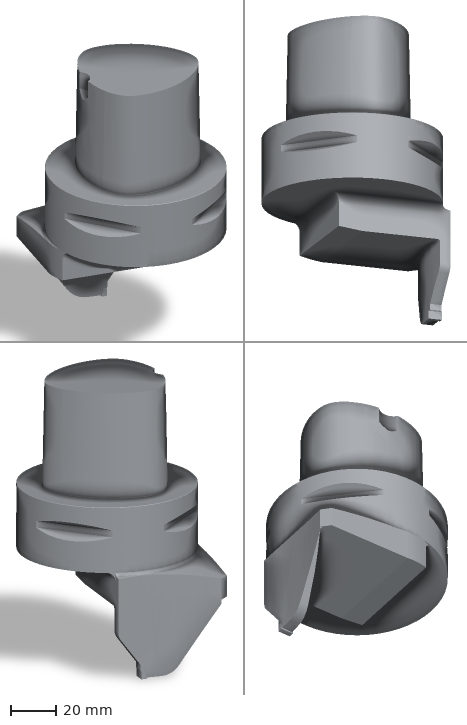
import cadquery as cq
import math


SHANK_LENGTH = 48.0
SHANK_BASE_RADIUS = 27.65
SHANK_TOP_RADIUS = 26.7
LOBE_HEIGHT = 2.0
LOBE_DIRECTIONS = (90, 210, 330)
LOBE_COUNT = len(LOBE_DIRECTIONS)
LOBE_SPACING = 360 / LOBE_COUNT
LOBE_HALF_ANGLE = 34
CURVE_STEPS = 8
SHANK_FILLET = 0.3

KEYWAY_RADIUS = 6.5
KEYWAY_DEEPEST_Y = -21.9
KEYWAY_DEPTH = 8.1

FLANGE_RADIUS = 40.0
FLANGE_HEIGHT = 30.0
FLANGE_CHAMFER = 0.2
GROOVE_ANGLES = (45, 135, 225, 315)
GROOVE_MID_Z = -12.1
GROOVE_FLOOR_DISTANCE = 35.5
GROOVE_FLOOR_WIDTH = 3.0
GROOVE_FLANK_ANGLE = 31

HEAD_LEFT_X = -45.06
HEAD_FRONT_Y = -40.5
HEAD_RIGHT_X = 10.4
HEAD_BACK_Y = 10.9
HEAD_BOTTOM_Z = -45.6
CORNER_CHAMFER_X = 3.6
CORNER_CHAMFER_Y = 3.8
FRONT_FLAT_END_X = -0.7
FRONT_ROUND_RADIUS = 30.0
HEAD_BOTTOM_RISE = 1.2
HEAD_FILLET = 3.8
HEAD_CONE_ANGLE = 15
RIM_CHAMFER_WIDTH = 1.0
RIM_CHAMFER_HEIGHT = 1.3

BLADE_OUTER_X = -41.8
BLADE_INNER_X = -36.4
BLADE_INNER_RADIUS = 82.2
CORNER_Y = HEAD_FRONT_Y + CORNER_CHAMFER_Y
OUTER_SAGITTA = BLADE_OUTER_X - HEAD_LEFT_X
BLADE_OUTER_RADIUS = (CORNER_Y**2 + OUTER_SAGITTA**2) / (2 * OUTER_SAGITTA)
BLADE_BOTTOM_Z = -78.6
BLADE_BACK_SHOULDER_Z = -58.5
BLADE_SEAT_Y = 0.4
BLADE_SEAT_Z = -72.4
BLADE_SLOPE_START_Z = -47.4
BLADE_SLOPE_END_Y = -14.5
BLADE_TIP_FILLET = 10.0
BLADE_BACK_FILLET = 6.0
BLADE_ROOT_FILLET = 1.2

INSERT_TOP_Z = -73.3
INSERT_BOTTOM_Z = -79.1
INSERT_RAKE = (0, -75.5)
INSERT_STEP = (-1.7, -75.6)
INSERT_HEEL = (-2.6, BLADE_BOTTOM_Z)
INSERT_BODY_OUTLINE = [
    (BLADE_SEAT_Y, INSERT_TOP_Z), (-2.9, -66.7), (-6.8, -66.4), (-7.6, -68.4), (-7.6, -70.1),
    (-4.9, BLADE_BOTTOM_Z), INSERT_HEEL, INSERT_STEP, INSERT_RAKE, (BLADE_SEAT_Y, -75.1),
]
INSERT_TIP_OUTLINE = [
    INSERT_RAKE, INSERT_STEP, INSERT_HEEL, (-2.4, INSERT_BOTTOM_Z), (INSERT_RAKE[0], INSERT_BOTTOM_Z),
]
INSERT_TIP_LEFT_X = -42.1
INSERT_TIP_RIGHT_X = -35.9

REACH = 100.0


def shank_point(radius, angle, z):
    """Point of the lobed outline whose outward normal has the given angle."""
    turn = math.radians(angle)
    phase = LOBE_COUNT * (turn - math.radians(LOBE_DIRECTIONS[0]))
    support = radius + LOBE_HEIGHT * math.cos(phase)
    slope = -LOBE_COUNT * LOBE_HEIGHT * math.sin(phase)
    x = support * math.cos(turn) - slope * math.sin(turn)
    y = support * math.sin(turn) + slope * math.cos(turn)
    return cq.Vector(x, y, z)


def shank_curve(radius, start, end, z):
    """One smooth stretch of the lobed outline between two normal angles."""
    step = (end - start) / CURVE_STEPS
    points = [shank_point(radius, start + step * i, z) for i in range(CURVE_STEPS + 1)]
    tangents = [
        cq.Vector(-math.sin(math.radians(angle)), math.cos(math.radians(angle)), 0)
        for angle in (start, end)
    ]
    return cq.Edge.makeSpline(points, tangents=tangents)


def shank_outline(radius, z):
    """Closed outline: a round lobe and a flatter side, three times."""
    edges = []
    for lobe in LOBE_DIRECTIONS:
        lobe_start = lobe - LOBE_HALF_ANGLE
        lobe_end = lobe + LOBE_HALF_ANGLE
        edges.append(shank_curve(radius, lobe_start, lobe_end, z))
        edges.append(shank_curve(radius, lobe_end, lobe_start + LOBE_SPACING, z))
    return cq.Wire.assembleEdges(edges)


def make_shank():
    base = shank_outline(SHANK_BASE_RADIUS, 0)
    top = shank_outline(SHANK_TOP_RADIUS, SHANK_LENGTH)
    return cq.Workplane(cq.Solid.makeLoft([base, top], True))


def make_keyway():
    cone_z = SHANK_LENGTH - KEYWAY_DEPTH
    return (
        cq.Workplane("XZ")
        .moveTo(0, SHANK_LENGTH)
        .lineTo(KEYWAY_RADIUS, SHANK_LENGTH)
        .lineTo(KEYWAY_RADIUS, cone_z)
        .lineTo(0, cone_z - KEYWAY_RADIUS)
        .close()
        .revolve(360, (0, 0), (0, 1))
        .translate((0, KEYWAY_DEEPEST_Y - KEYWAY_RADIUS, 0))
    )


def make_flange():
    return (
        cq.Workplane("XY")
        .circle(FLANGE_RADIUS)
        .extrude(-FLANGE_HEIGHT)
        .faces(">Z")
        .chamfer(FLANGE_CHAMFER)
    )


def make_groove(angle):
    """Trapezoidal bar that cuts a straight groove across the rim."""
    depth = FLANGE_RADIUS - GROOVE_FLOOR_DISTANCE
    floor_half = GROOVE_FLOOR_WIDTH / 2
    mouth_half = floor_half + depth * math.tan(math.radians(GROOVE_FLANK_ANGLE))
    return (
        cq.Workplane("XZ")
        .polyline([
            (GROOVE_FLOOR_DISTANCE, GROOVE_MID_Z - floor_half),
            (FLANGE_RADIUS, GROOVE_MID_Z - mouth_half),
            (FLANGE_RADIUS, GROOVE_MID_Z + mouth_half),
            (GROOVE_FLOOR_DISTANCE, GROOVE_MID_Z + floor_half),
        ])
        .close()
        .extrude(FLANGE_RADIUS, both=True)
        .rotate((0, 0, 0), (0, 0, 1), angle)
    )


def arc_x(crest_x, radius, y):
    """X on an upright cylinder whose rightmost line is at crest_x, Y = 0."""
    return crest_x - radius + math.sqrt(radius**2 - y**2)


def make_head():
    """Plate below the flange, before its top is cut back to a cone."""
    round_run = HEAD_RIGHT_X - FRONT_FLAT_END_X
    round_rise = FRONT_ROUND_RADIUS - math.sqrt(FRONT_ROUND_RADIUS**2 - round_run**2)
    back_left_x = arc_x(BLADE_OUTER_X, BLADE_OUTER_RADIUS, HEAD_BACK_Y)
    plate = (
        cq.Workplane("XY", origin=(0, 0, HEAD_BOTTOM_Z))
        .moveTo(HEAD_LEFT_X + CORNER_CHAMFER_X, HEAD_FRONT_Y)
        .lineTo(FRONT_FLAT_END_X, HEAD_FRONT_Y)
        .tangentArcPoint((HEAD_RIGHT_X, HEAD_FRONT_Y + round_rise), relative=False)
        .lineTo(HEAD_RIGHT_X, HEAD_BACK_Y)
        .lineTo(back_left_x, HEAD_BACK_Y)
        .threePointArc((BLADE_OUTER_X, 0), (HEAD_LEFT_X, CORNER_Y))
        .close()
        .extrude(-FLANGE_HEIGHT - HEAD_BOTTOM_Z)
    )
    underside_wedge = (
        cq.Workplane("XZ")
        .polyline([
            (FRONT_FLAT_END_X, HEAD_BOTTOM_Z),
            (HEAD_RIGHT_X, HEAD_BOTTOM_Z),
            (HEAD_RIGHT_X, HEAD_BOTTOM_Z + HEAD_BOTTOM_RISE),
        ])
        .close()
        .extrude(REACH, both=True)
    )
    return plate.cut(underside_wedge)


def make_head_clearance():
    """Ring that leaves a chamfer below the flange rim and a 15 degree cone on the head."""
    cone_start_x = FLANGE_RADIUS + RIM_CHAMFER_WIDTH
    cone_start_z = -FLANGE_HEIGHT - RIM_CHAMFER_HEIGHT
    cone_drop = (REACH - cone_start_x) * math.tan(math.radians(HEAD_CONE_ANGLE))
    return (
        cq.Workplane("XZ")
        .polyline([
            (FLANGE_RADIUS, -FLANGE_HEIGHT),
            (cone_start_x, cone_start_z),
            (REACH, cone_start_z - cone_drop),
            (REACH, -FLANGE_HEIGHT),
        ])
        .close()
        .revolve(360, (0, 0), (0, 1))
    )


def make_curved_plate():
    """Space between the two upright blade faces, from the head down past the tip."""
    back = HEAD_BACK_Y
    return (
        cq.Workplane("XY", origin=(0, 0, HEAD_BOTTOM_Z))
        .moveTo(arc_x(BLADE_INNER_X, BLADE_INNER_RADIUS, CORNER_Y), CORNER_Y)
        .threePointArc((BLADE_INNER_X, 0), (arc_x(BLADE_INNER_X, BLADE_INNER_RADIUS, back), back))
        .lineTo(arc_x(BLADE_OUTER_X, BLADE_OUTER_RADIUS, back), back)
        .threePointArc((BLADE_OUTER_X, 0), (HEAD_LEFT_X, CORNER_Y))
        .close()
        .extrude(-REACH)
    )


def make_side_prism(outline):
    """Prism along X with the given (Y, Z) outline."""
    return cq.Workplane("YZ").polyline(outline).close().extrude(REACH, both=True)


def make_blade():
    side = make_side_prism([
        (HEAD_BACK_Y, HEAD_BOTTOM_Z),
        (HEAD_BACK_Y, BLADE_BACK_SHOULDER_Z),
        (BLADE_SEAT_Y, BLADE_SEAT_Z),
        (BLADE_SEAT_Y, INSERT_TOP_Z),
        INSERT_HEEL,
        (BLADE_SLOPE_END_Y, BLADE_BOTTOM_Z),
        (CORNER_Y, BLADE_SLOPE_START_Z),
        (CORNER_Y, HEAD_BOTTOM_Z),
    ])
    tip_edge = cq.selectors.NearestToPointSelector((0, BLADE_SLOPE_END_Y, BLADE_BOTTOM_Z))
    back_edge = cq.selectors.NearestToPointSelector((0, HEAD_BACK_Y, BLADE_BACK_SHOULDER_Z))
    return (
        side.edges(tip_edge)
        .fillet(BLADE_TIP_FILLET)
        .edges(back_edge)
        .fillet(BLADE_BACK_FILLET)
        .intersect(make_curved_plate())
    )


def make_insert():
    body = make_side_prism(INSERT_BODY_OUTLINE).intersect(make_curved_plate())
    tip = (
        cq.Workplane("YZ", origin=(INSERT_TIP_LEFT_X, 0, 0))
        .polyline(INSERT_TIP_OUTLINE)
        .close()
        .extrude(INSERT_TIP_RIGHT_X - INSERT_TIP_LEFT_X)
    )
    return body.union(tip)


def make_shoulder():
    """Shank standing on the flange, with a small fillet around its foot."""
    flange = make_flange()
    for angle in GROOVE_ANGLES:
        flange = flange.cut(make_groove(angle))
    box_half = SHANK_BASE_RADIUS + 2 * LOBE_HEIGHT
    foot_edges = cq.selectors.BoxSelector(
        (-box_half, -box_half, -SHANK_FILLET), (box_half, box_half, SHANK_FILLET), boundingbox=True
    )
    return (
        flange.union(make_shank())
        .edges(foot_edges)
        .fillet(SHANK_FILLET)
        .cut(make_keyway())
    )


def make_holder():
    head = make_head()
    under_flange = cq.Workplane("XY").circle(FLANGE_RADIUS).extrude(-REACH)
    half_way = -FLANGE_RADIUS / 2
    back_edge = cq.selectors.NearestToPointSelector((half_way, HEAD_BACK_Y, -FLANGE_HEIGHT))
    right_edge = cq.selectors.NearestToPointSelector((HEAD_RIGHT_X, half_way, -FLANGE_HEIGHT))
    holder = (
        make_shoulder()
        .union(head.intersect(under_flange))
        .edges(cq.selectors.SumSelector(back_edge, right_edge))
        .fillet(HEAD_FILLET)
        .union(head.cut(make_head_clearance()))
        .union(make_blade())
    )
    root_edge = cq.selectors.NearestToPointSelector((BLADE_INNER_X, CORNER_Y / 2, HEAD_BOTTOM_Z))
    return holder.edges(root_edge).fillet(BLADE_ROOT_FILLET)


insert = make_insert()
holder = make_holder().cut(insert)
result = cq.Compound.makeCompound([holder.val(), insert.val()])